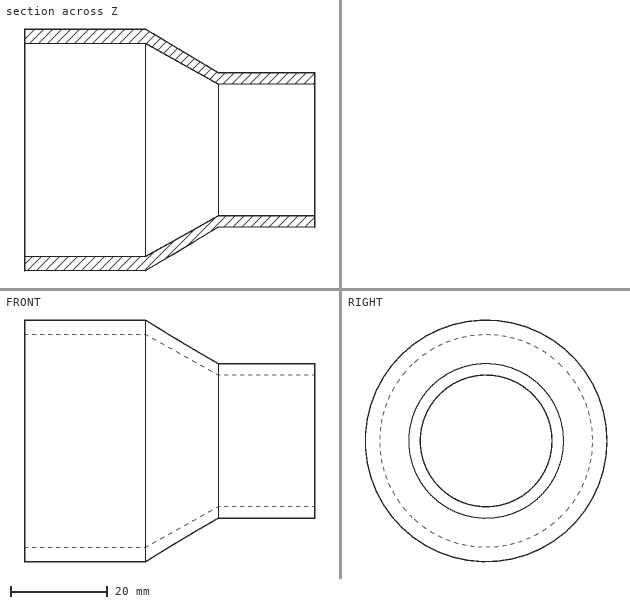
import cadquery as cq

total_length = 60.0
wide_length = 25.0
cone_length = 15.0

wide_outer_diameter = 50.0
wide_bore_diameter = 44.0
narrow_outer_diameter = 32.0
narrow_bore_diameter = 27.2

cone_start = wide_length
cone_end = cone_start + cone_length


def stepped_cone(wide_diameter, narrow_diameter):
    """Solid of a wide cylinder, a cone and a narrow cylinder, revolved about X."""
    wide_radius = wide_diameter / 2
    narrow_radius = narrow_diameter / 2
    return (
        cq.Workplane("XY")
        .moveTo(0, 0)
        .lineTo(0, wide_radius)
        .lineTo(cone_start, wide_radius)
        .lineTo(cone_end, narrow_radius)
        .lineTo(total_length, narrow_radius)
        .lineTo(total_length, 0)
        .close()
        .revolve(360, (0, 0, 0), (1, 0, 0))
    )


body = stepped_cone(wide_outer_diameter, narrow_outer_diameter)
bore = stepped_cone(wide_bore_diameter, narrow_bore_diameter)
result = body.cut(bore)